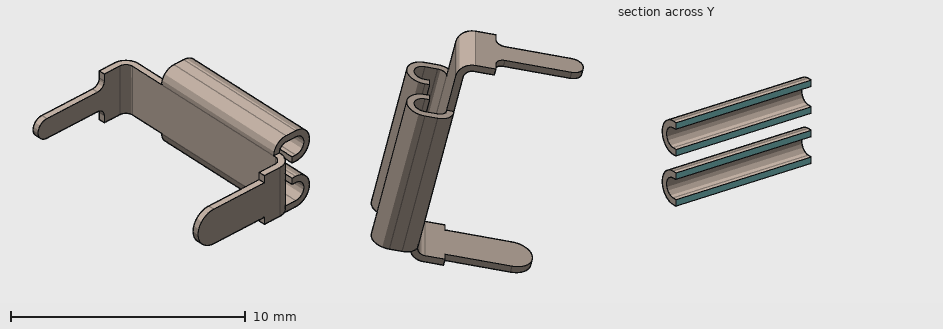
import cadquery as cq

length = 10.46
height = 3.96
depth = 7.14
thickness = 0.32
bend_radius = 0.71
inner_bend_radius = bend_radius - thickness

curl_start = 2.54
curl_length = 7.1
curl_depth = 2.06
curl_radius = 0.8
lip_length = 0.21
web_half_height = height / 2 - bend_radius

shoulder_y = -1.28
tip_y = curl_depth - depth
left_prong_half_width = 0.51
right_prong_half_width = 0.9
left_root_fillet = 0.39
web_back_y = thickness


def make_channel():
    """Web and both leg shoulders as one U-shaped strip of full web height."""
    corner_y = web_back_y - bend_radius
    outer = (
        cq.Workplane("XY").workplane(offset=-web_half_height)
        .moveTo(0, shoulder_y)
        .lineTo(0, corner_y)
        .radiusArc((bend_radius, web_back_y), bend_radius)
        .lineTo(length - bend_radius, web_back_y)
        .radiusArc((length, corner_y), bend_radius)
        .lineTo(length, shoulder_y)
        .lineTo(length - thickness, shoulder_y)
        .lineTo(length - thickness, corner_y)
        .radiusArc((length - bend_radius, 0), -inner_bend_radius)
        .lineTo(bend_radius, 0)
        .radiusArc((thickness, corner_y), -inner_bend_radius)
        .lineTo(thickness, shoulder_y)
        .close()
    )
    return outer.extrude(2 * web_half_height)


def make_prong(x_start, half_width):
    """Flat prong with a fully rounded tip, starting at the shoulder."""
    round_y = tip_y + half_width
    return (
        cq.Workplane("YZ").workplane(offset=x_start)
        .moveTo(shoulder_y, half_width)
        .lineTo(round_y, half_width)
        .threePointArc((tip_y, 0), (round_y, -half_width))
        .lineTo(shoulder_y, -half_width)
        .close()
        .extrude(thickness)
    )


def make_root_fillet():
    """Concave fillet between the left shoulder and the top edge of its prong."""
    return (
        cq.Workplane("YZ")
        .moveTo(shoulder_y, left_prong_half_width)
        .lineTo(shoulder_y, left_prong_half_width + left_root_fillet)
        .radiusArc((shoulder_y - left_root_fillet, left_prong_half_width), left_root_fillet)
        .close()
        .extrude(thickness)
    )


def make_upper_curl():
    """Flange that bends back from the top of the web and curls down to a short lip."""
    top = height / 2
    curl_y = curl_depth - curl_radius
    curl_z = top - curl_radius
    inner_curl_radius = curl_radius - thickness
    lip_y = curl_y - lip_length
    return (
        cq.Workplane("YZ").workplane(offset=curl_start)
        .moveTo(0, web_half_height)
        .radiusArc((bend_radius, top), bend_radius)
        .lineTo(curl_y, top)
        .threePointArc((curl_depth, curl_z), (curl_y, curl_z - curl_radius))
        .lineTo(lip_y, curl_z - curl_radius)
        .lineTo(lip_y, curl_z - inner_curl_radius)
        .lineTo(curl_y, curl_z - inner_curl_radius)
        .threePointArc((curl_depth - thickness, curl_z), (curl_y, curl_z + inner_curl_radius))
        .lineTo(bend_radius, top - thickness)
        .radiusArc((thickness, web_half_height), -inner_bend_radius)
        .close()
        .extrude(curl_length)
    )


upper_curl = make_upper_curl()
root_fillet = make_root_fillet()

result = make_channel()
result = result.union(make_prong(0, left_prong_half_width))
result = result.union(make_prong(length - thickness, right_prong_half_width))
for upper_feature in (upper_curl, root_fillet):
    result = result.union(upper_feature).union(upper_feature.mirror("XY"))